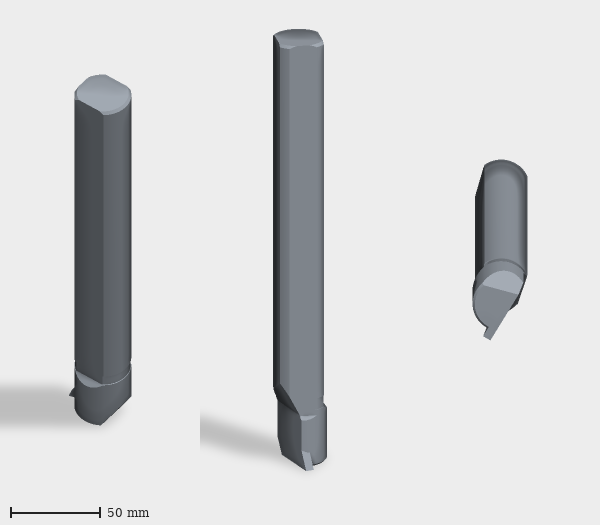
import cadquery as cq
import math

length = 250.2
bar_radius = 16.0
top_chamfer = 1.5
end_chamfer = 1.3

neck_radius = 15.5
neck_bottom = 33.3
neck_top = 40.0

face_flat_offset = 12.5
side_flat_offset = 14.0
side_flat_bottom = 30.0

rake_angle = 15.0
rake_offset = 5.5
gullet_top = 30.5
runout_slope = 2.0

bevel_height = 13.8
bevel_width = bevel_height * math.tan(math.radians(30))

insert_side = 22.0
insert_thickness = 4.8
insert_tip_x = -21.8

clear = 2 * bar_radius


def rake_frame(shape):
    """Turn a shape modelled square to the Y axis into line with the rake plane."""
    return shape.rotate((0, 0, 0), (0, 0, 1), rake_angle)


def make_blank():
    """Round bar with chamfered ends and the relieved neck band."""
    blank = cq.Workplane("XY").circle(bar_radius).extrude(length)
    blank = blank.faces(">Z").chamfer(top_chamfer)
    blank = blank.faces("<Z").chamfer(end_chamfer)
    band = (
        cq.Workplane("XY", origin=(0, 0, neck_bottom))
        .circle(clear)
        .circle(neck_radius)
        .extrude(neck_top - neck_bottom)
    )
    return blank.cut(band)


def flat_cutter(offset, bottom, direction):
    """Material outside a flat that faces +X, turned about Z to face another direction."""
    return (
        cq.Workplane("XZ")
        .moveTo(offset, length)
        .lineTo(offset, bottom)
        .lineTo(offset + clear, bottom - clear)
        .lineTo(offset + clear, length)
        .close()
        .extrude(clear, both=True)
        .rotate((0, 0, 0), (0, 0, 1), direction)
    )


def gullet_cutter():
    """Material in front of the rake plane and its sloped run-out."""
    cutter = (
        cq.Workplane("YZ")
        .moveTo(rake_offset, 0)
        .lineTo(rake_offset, gullet_top)
        .lineTo(rake_offset + clear, gullet_top + runout_slope * clear)
        .lineTo(rake_offset + clear, 0)
        .close()
        .extrude(clear, both=True)
    )
    return rake_frame(cutter)


def bevel_cutter():
    """Wedge removed from the +X side of the cutting end."""
    return (
        cq.Workplane("XZ")
        .moveTo(bar_radius, bevel_height)
        .lineTo(bar_radius - bevel_width, 0)
        .lineTo(bar_radius, 0)
        .close()
        .extrude(clear, both=True)
    )


def make_insert():
    """Equilateral plate with one tip beyond the -X side of the bar."""
    turn = math.radians(rake_angle)
    tip = (insert_tip_x + rake_offset * math.sin(turn)) / math.cos(turn)
    plate = (
        cq.Workplane("XZ", origin=(0, rake_offset, 0))
        .moveTo(tip, 0)
        .lineTo(tip + insert_side, 0)
        .lineTo(tip + insert_side / 2, insert_side * math.sin(math.radians(60)))
        .close()
        .extrude(insert_thickness)
    )
    return rake_frame(plate)


insert = make_insert()

holder = make_blank()
holder = holder.cut(flat_cutter(face_flat_offset, neck_bottom, -90))
holder = holder.cut(flat_cutter(face_flat_offset, neck_bottom, 90))
holder = holder.cut(flat_cutter(side_flat_offset, side_flat_bottom, 180))
holder = holder.cut(gullet_cutter())
holder = holder.cut(bevel_cutter())
holder = holder.cut(insert)

result = cq.Compound.makeCompound([holder.val(), insert.val()])